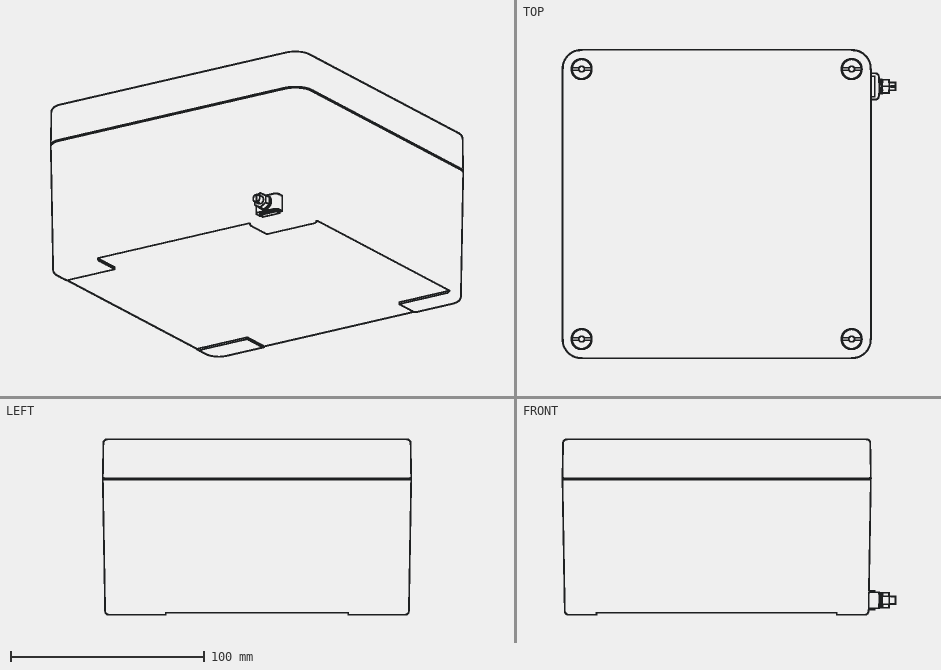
import cadquery as cq
import math

box_width = 160.0
box_height = 91.0
overall_length = 172.7
parting_height = 70.8
corner_radius = 10.0
draft_angle = 1.0
lid_edge_radius = 2.0
base_edge_radius = 2.0
parting_chamfer = 0.7

foot_length_x = 17.8
foot_length_y = 32.8
foot_height = 1.0

screw_diameter = 10.0
screw_hole_diameter = 10.7
screw_hole_depth = 6.9
screw_sink = 1.0
screw_slot_width = 1.2
screw_slot_depth = 1.0
screw_socket_diameter = 3.0
screw_socket_depth = 2.0

terminal_y = 61.0
terminal_z = 7.6
clamp_end = 84.1
clamp_width = 13.8
clamp_height = 8.5
clamp_corner_radius = 2.0
flange_end = 81.9
flange_width = 10.5
flange_height = 10.0
washer_diameter = 7.6
washer_bore = 4.5
washer_wire = 0.9
washer_gap_angle = 12.0
nut_start = 85.8
nut_thickness = 3.5
nut_flats = 6.9
stud_diameter = 4.1
stud_embedment = 3.5
stud_slot_width = 0.5
stud_slot_depth = 2.5

half_width = box_width / 2
lid_height = box_height - parting_height
corner_centre = half_width - corner_radius
stud_end = overall_length - half_width
nut_corners = nut_flats / math.cos(math.pi / 6)
washer_space = nut_start - clamp_end


def drafted_block(height):
    """Rounded square block that narrows upward from its widest outline at Z = 0."""
    outline = cq.Sketch().rect(box_width, box_width).vertices().fillet(corner_radius)
    return cq.Workplane("XY").placeSketch(outline).extrude(height, taper=draft_angle)


def terminal_plane(x):
    """Workplane facing +X on the terminal axis; its local axes run along Y and Z."""
    return cq.Workplane("YZ", origin=(x, terminal_y, terminal_z))


def terminal_rod(start, end, diameter):
    """Cylinder on the terminal axis."""
    return terminal_plane(start).circle(diameter / 2).extrude(end - start)


def make_base():
    block = drafted_block(parting_height)
    block = block.faces(">Z").edges().fillet(base_edge_radius)
    block = block.faces("<Z").edges().chamfer(parting_chamfer)
    base = block.rotate((0, 0, 0), (1, 0, 0), 180).translate((0, 0, parting_height))

    channel_x = box_width - 2 * foot_length_x
    channel_y = box_width - 2 * foot_length_y
    underside = cq.Workplane("XY")
    base = base.cut(underside.rect(channel_x, box_width).extrude(foot_height))
    return base.cut(underside.rect(box_width, channel_y).extrude(foot_height))


def make_lid():
    lid = drafted_block(lid_height).faces(">Z").edges().fillet(lid_edge_radius)
    lid = lid.translate((0, 0, parting_height))
    holes = (
        cq.Workplane("XY", origin=(0, 0, box_height))
        .rect(2 * corner_centre, 2 * corner_centre, forConstruction=True)
        .vertices()
        .circle(screw_hole_diameter / 2)
        .extrude(-screw_hole_depth)
    )
    return lid.cut(holes)


def make_screw(x, y):
    """Slotted screw head with a round centre socket, standing on the floor of its hole."""
    length = screw_hole_depth - screw_sink
    screw = cq.Workplane("XY").circle(screw_diameter / 2).extrude(length)
    top = cq.Workplane("XY", origin=(0, 0, length))
    slot = top.rect(screw_diameter, screw_slot_width).extrude(-screw_slot_depth)
    socket = top.circle(screw_socket_diameter / 2).extrude(-screw_socket_depth)
    screw = screw.cut(slot).cut(socket)
    return screw.translate((x, y, box_height - screw_hole_depth))


def make_clamp(base, bore):
    """Round-cornered clamp block with a taller, narrower flange, seated on the drafted wall."""
    inner_end = half_width - corner_radius
    body = terminal_plane(inner_end).rect(clamp_width, clamp_height).extrude(clamp_end - inner_end)
    body = body.faces(">X").edges("|Z").fillet(clamp_corner_radius)
    flange = terminal_plane(inner_end).rect(flange_width, flange_height)
    flange = flange.extrude(flange_end - inner_end)
    return body.union(flange).cut(base).cut(bore)


def make_spring_washer():
    """One open left-hand turn of square wire that fills the space between clamp and nut."""
    turn = 1 - washer_gap_angle / 360
    rise = washer_space - washer_wire
    mean_radius = (washer_diameter + washer_bore) / 4
    wire_width = (washer_diameter - washer_bore) / 2
    path = cq.Wire.makeHelix(rise / turn, rise, mean_radius, lefthand=True)
    section = cq.Workplane("XZ").center(mean_radius, 0).rect(wire_width, washer_wire)
    coil = section.sweep(cq.Workplane(path), isFrenet=True)
    coil = coil.translate((0, 0, washer_wire / 2))

    coil = coil.rotate((0, 0, 0), (0, 0, 1), -90 - washer_gap_angle / 2)
    coil = coil.rotate((0, 0, 0), (0, 1, 0), 90)
    return coil.translate((clamp_end, terminal_y, terminal_z))


def make_nut(bore):
    hexagon = terminal_plane(nut_start).transformed(rotate=(0, 0, 90))
    return hexagon.polygon(6, nut_corners).extrude(nut_thickness).cut(bore)


def make_stud():
    """Plain stud set into the base wall, with a screwdriver slot across its free end."""
    rod = terminal_rod(half_width - stud_embedment, stud_end, stud_diameter)
    slot = terminal_plane(stud_end).rect(stud_slot_width, stud_diameter).extrude(-stud_slot_depth)
    return rod.cut(slot)


stud_bore = terminal_rod(half_width - stud_embedment, stud_end, stud_diameter)
plain_base = make_base()
base = plain_base.cut(stud_bore)
lid = make_lid()
screws = [
    make_screw(x, y)
    for x in (-corner_centre, corner_centre)
    for y in (-corner_centre, corner_centre)
]
clamp = make_clamp(plain_base, stud_bore)
spring_washer = make_spring_washer()
nut = make_nut(stud_bore)
stud = make_stud()

result = cq.Compound.makeCompound([
    base.val(),
    lid.val(),
    *[screw.val() for screw in screws],
    clamp.val(),
    spring_washer.val(),
    nut.val(),
    stud.val(),
])